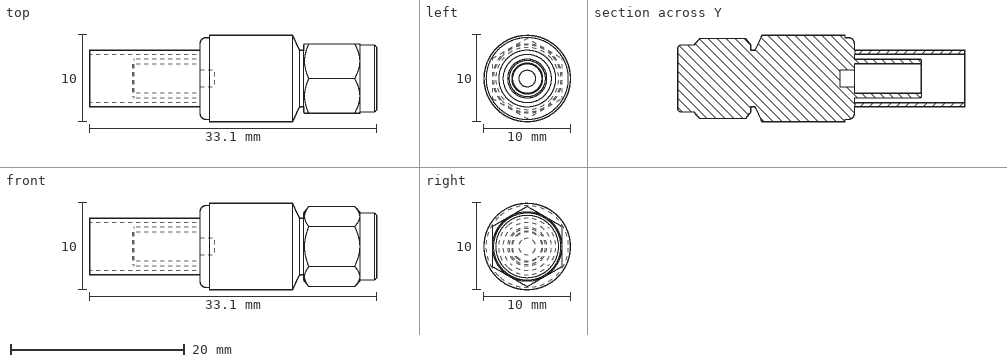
import cadquery as cq
import math

total_length = 33.1
rear_face_x = 12.7
rim_end_x = 13.8
barrel_end_x = 23.4
cone_end_x = 24.2
nut_start_x = 24.65
nut_end_x = 31.15

ferrule_radius = 3.28
ferrule_bore_radius = 2.78

barrel_radius = 5.0
rim_radius = 4.73
rear_face_radius = 3.9
rim_rounding_length = 0.63
neck_radius = ferrule_radius
plug_radius = 3.87
plug_chamfer = 0.25

nut_across_flats = 8.0
nut_corner_radius = nut_across_flats / math.sqrt(3)
nut_rear_face_radius = plug_radius
nut_front_face_radius = nut_across_flats / 2
nut_chamfer_length = 0.6

stem_tip_x = 4.95
stem_radius = 2.25
stem_bore_radius = 1.7
stem_outer_chamfer = 0.15
stem_bore_chamfer = 0.1
contact_hole_radius = 0.95
contact_hole_depth = 1.65


def cylinder(start_x, end_x, radius):
    """Solid cylinder on the X axis."""
    return cq.Workplane("YZ", origin=(start_x, 0, 0)).circle(radius).extrude(end_x - start_x)


def revolve_about_x(profile):
    """Turn a closed XY profile about the X axis."""
    return profile.close().revolve(360, (0, 0, 0), (1, 0, 0))


def make_ferrule():
    """Plain tube that butts against the rear face of the connector."""
    return cylinder(0, rear_face_x, ferrule_radius).cut(cylinder(0, rear_face_x, ferrule_bore_radius))


def make_barrel():
    """Barrel with a rounded rear rim and a tapered front, up to the chamfered plug end."""
    rounding_height = rim_radius - rear_face_radius
    rounding_mid = (
        rear_face_x + rim_rounding_length * (1 - math.sqrt(0.5)),
        rear_face_radius + rounding_height * math.sqrt(0.5),
    )
    profile = (
        cq.Workplane("XY")
        .moveTo(rear_face_x, 0)
        .lineTo(rear_face_x, rear_face_radius)
        .threePointArc(rounding_mid, (rear_face_x + rim_rounding_length, rim_radius))
        .lineTo(rim_end_x, rim_radius)
        .lineTo(rim_end_x, barrel_radius)
        .lineTo(barrel_end_x, barrel_radius)
        .lineTo(cone_end_x, neck_radius)
        .lineTo(nut_start_x, neck_radius)
        .lineTo(nut_start_x, plug_radius)
        .lineTo(total_length - plug_chamfer, plug_radius)
        .lineTo(total_length, plug_radius - plug_chamfer)
        .lineTo(total_length, 0)
    )
    return revolve_about_x(profile)


def make_hexagon():
    """Hexagonal prism with its corners chamfered conically at both ends."""
    prism = (
        cq.Workplane("YZ", origin=(nut_start_x, 0, 0))
        .polygon(6, 2 * nut_corner_radius)
        .extrude(nut_end_x - nut_start_x)
        .rotate((0, 0, 0), (1, 0, 0), 90)
    )
    envelope = revolve_about_x(
        cq.Workplane("XY")
        .moveTo(nut_start_x, 0)
        .lineTo(nut_start_x, nut_rear_face_radius)
        .lineTo(nut_start_x + nut_chamfer_length, nut_corner_radius)
        .lineTo(nut_end_x - nut_chamfer_length, nut_corner_radius)
        .lineTo(nut_end_x, nut_front_face_radius)
        .lineTo(nut_end_x, 0)
    )
    return prism.intersect(envelope)


def make_stem():
    """Hollow cable stem with both edges of its tip chamfered."""
    profile = (
        cq.Workplane("XY")
        .moveTo(rear_face_x, stem_bore_radius)
        .lineTo(stem_tip_x + stem_bore_chamfer, stem_bore_radius)
        .lineTo(stem_tip_x, stem_bore_radius + stem_bore_chamfer)
        .lineTo(stem_tip_x, stem_radius - stem_outer_chamfer)
        .lineTo(stem_tip_x + stem_outer_chamfer, stem_radius)
        .lineTo(rear_face_x, stem_radius)
    )
    return revolve_about_x(profile)


def make_connector():
    """Barrel, hexagon and stem in one piece, with a blind contact hole at the stem bottom."""
    contact_hole = cylinder(rear_face_x, rear_face_x + contact_hole_depth, contact_hole_radius)
    return make_barrel().union(make_hexagon()).union(make_stem()).cut(contact_hole)


ferrule = make_ferrule()
connector = make_connector()

result = cq.Compound.makeCompound([ferrule.val(), connector.val()])